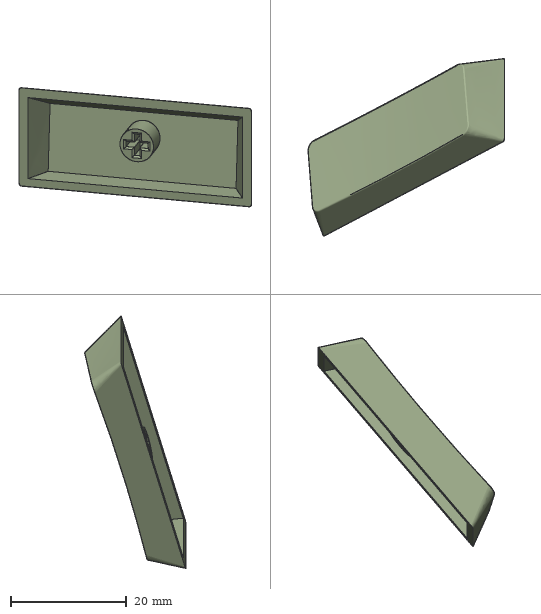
import cadquery as cq
import math

rim_length = 41.7
rim_height = 18.1
rim_corner_radius = 0.5
back_length = 35.85
back_top_z = 5.45
back_corner_radius = 1.65
depth_at_top = 7.5
depth_at_bottom = 6.0
dish_depth = 0.45
back_edge_radius = 0.25

opening_length = 38.45
opening_top_z = 7.35
floor_length = 33.7
floor_top_z = 4.5
cavity_bottom_z = -7.55
floor_depth_at_bottom = 4.55

stem_diameter = 6.0
stem_front_y = 1.0
socket_span = 4.65
socket_arm_width = 1.7
flare_inset = 0.38
flare_depth = 0.25
socket_depth = 4.0

rim_bottom_z = -rim_height / 2
back_rise = back_top_z - rim_bottom_z
back_slope = (depth_at_top - depth_at_bottom) / back_rise
back_height = math.hypot(back_rise, depth_at_top - depth_at_bottom)
floor_rise = floor_top_z - cavity_bottom_z
floor_depth_at_top = floor_depth_at_bottom + floor_rise * back_slope
back_middle = cq.Vector(0, (depth_at_top + depth_at_bottom) / 2, (back_top_z + rim_bottom_z) / 2)
dish_radius = (back_length**2 / 4 + dish_depth**2) / (2 * dish_depth)


def rounded_outline(plane, length, height, radius):
    """Closed rounded rectangle centred on the plane."""
    sketch = cq.Sketch().rect(length, height).vertices().fillet(radius)
    return sketch._faces.Faces()[0].outerWire().moved(cq.Location(plane))


def tapered_shell():
    """Solid between the upright rim and the tilted back."""
    rim_plane = cq.Plane(origin=(0, 0, 0), xDir=(1, 0, 0), normal=(0, -1, 0))
    back_plane = cq.Plane(
        origin=back_middle,
        xDir=(1, 0, 0),
        normal=(0, -1, back_slope),
    )
    rim = rounded_outline(rim_plane, rim_length, rim_height, rim_corner_radius)
    back = rounded_outline(back_plane, back_length, back_height, back_corner_radius)
    return cq.Workplane(cq.Solid.makeLoft([rim, back], True))


def back_dish():
    """Shallow cylinder whose axis runs up the tilted back."""
    axis = cq.Vector(0, back_slope, 1).normalized()
    outward = cq.Vector(0, 1, -back_slope).normalized()
    start = back_middle + outward * (dish_radius - dish_depth) - axis * rim_height
    return cq.Workplane(cq.Solid.makeCylinder(dish_radius, 2 * rim_height, start, axis))


def cavity():
    """Tapered recess with a flat lower wall and a floor parallel to the back."""
    opening = cq.Wire.makePolygon(
        [
            (-opening_length / 2, 0, cavity_bottom_z),
            (opening_length / 2, 0, cavity_bottom_z),
            (opening_length / 2, 0, opening_top_z),
            (-opening_length / 2, 0, opening_top_z),
        ],
        close=True,
    )
    floor = cq.Wire.makePolygon(
        [
            (-floor_length / 2, floor_depth_at_bottom, cavity_bottom_z),
            (floor_length / 2, floor_depth_at_bottom, cavity_bottom_z),
            (floor_length / 2, floor_depth_at_top, floor_top_z),
            (-floor_length / 2, floor_depth_at_top, floor_top_z),
        ],
        close=True,
    )
    return cq.Workplane(cq.Solid.makeLoft([opening, floor], True))


def cross_outline(y, inset):
    """Twelve-sided cross at depth y, moved inward by the inset."""
    tip = socket_span / 2 - inset
    side = socket_arm_width / 2 - inset
    points = []
    for x_turn, z_turn in ((1, 0), (0, 1), (-1, 0), (0, -1)):
        for along, across in ((tip, -side), (tip, side), (side, side)):
            x = along * x_turn - across * z_turn
            z = along * z_turn + across * x_turn
            points.append((x, y, z))
    return cq.Wire.makePolygon(points, close=True)


def stem():
    """Round post from the cavity floor."""
    length = floor_depth_at_top - stem_front_y
    post = cq.Solid.makeCylinder(
        stem_diameter / 2, length, cq.Vector(0, stem_front_y, 0), cq.Vector(0, 1, 0)
    )
    return cq.Workplane(post)


def socket():
    """Straight cross-shaped socket with a flared mouth."""
    flare_end_y = stem_front_y + flare_depth
    mouth = cross_outline(stem_front_y, 0)
    throat = cross_outline(flare_end_y, flare_inset)
    bottom = cross_outline(stem_front_y + socket_depth, flare_inset)
    flare = cq.Workplane(cq.Solid.makeLoft([mouth, throat], True))
    return flare.union(cq.Workplane(cq.Solid.makeLoft([throat, bottom], True)))


dished_shell = tapered_shell().cut(back_dish())
rounded_shell = dished_shell.faces(">Y").edges().fillet(back_edge_radius)
shell = rounded_shell.cut(cavity())
result = shell.union(stem()).cut(socket())